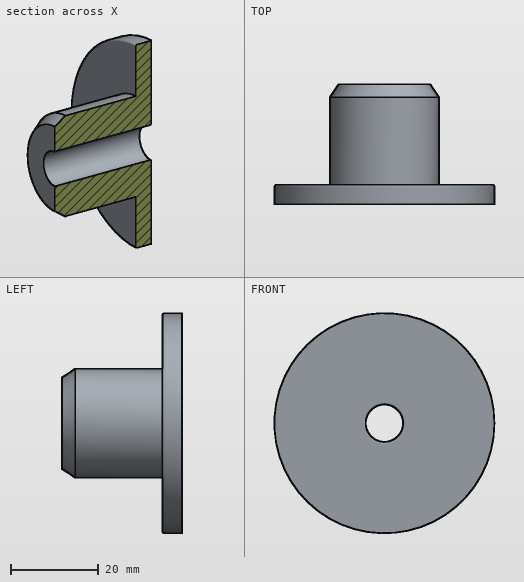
import cadquery as cq

flange_diameter = 50.4
flange_thickness = 4.5
flange_fillet = 0.5

spigot_diameter = 25.0
overall_length = 27.5
taper_length = 3.0
taper_depth = 2.0

bore_diameter = 8.5
bore_fillet = 0.5


def make_body():
    """Revolve the half section of flange and spigot about the Y axis."""
    flange_radius = flange_diameter / 2
    spigot_radius = spigot_diameter / 2
    half_section = (
        cq.Workplane("XY")
        .moveTo(0, 0)
        .lineTo(flange_radius, 0)
        .lineTo(flange_radius, flange_thickness - flange_fillet)
        .radiusArc((flange_radius - flange_fillet, flange_thickness), -flange_fillet)
        .lineTo(spigot_radius, flange_thickness)
        .lineTo(spigot_radius, overall_length - taper_length)
        .lineTo(spigot_radius - taper_depth, overall_length)
        .lineTo(0, overall_length)
        .close()
    )
    return half_section.revolve(360, (0, 0, 0), (0, 1, 0))


def make_bore():
    """Revolve the bore, rounded outwards at the flange face."""
    bore_radius = bore_diameter / 2
    half_section = (
        cq.Workplane("XY")
        .moveTo(0, 0)
        .lineTo(bore_radius + bore_fillet, 0)
        .radiusArc((bore_radius, bore_fillet), bore_fillet)
        .lineTo(bore_radius, overall_length)
        .lineTo(0, overall_length)
        .close()
    )
    return half_section.revolve(360, (0, 0, 0), (0, 1, 0))


result = make_body().cut(make_bore())